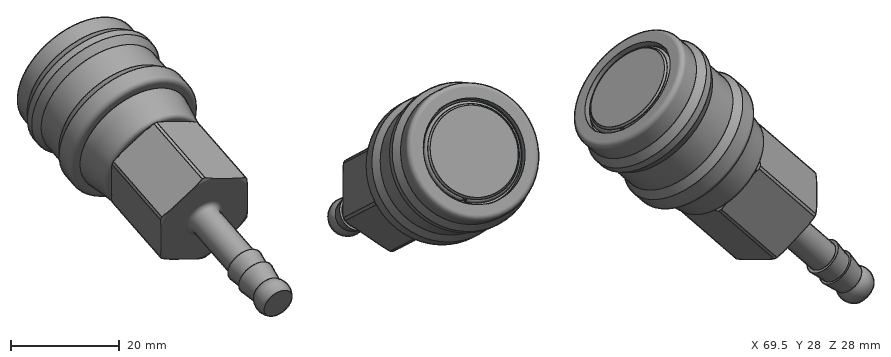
import cadquery as cq
import math

TOTAL_LENGTH = 69.5

GRIP_DIA = 26.0
RIDGE_DIA = 28.0
SLEEVE_END = 20.45
RIDGE_RAMP = 1.7
FRONT_RIDGE_START = 4.0
FRONT_RIDGE_CREST = 1.45
REAR_RIDGE_START = 14.9
MOUTH_FILLET = 1.0
REAR_FILLET = 1.0

CORE_DIA = 18.0
MOUTH_DIA = 20.0
SEAT_START = 1.5

NOSE_CHAMFER = 0.35
RING_DIA = 19.1
RING_POSITION = 1.0
RING_GAP_WIDTH = 0.7
RING_GAP_ANGLE = 10.5
COLLAR_DIA = 23.85
COLLAR_LAND_END = 20.7
COLLAR_END = 27.3
COLLAR_END_DIA = 21.35
COLLAR_FILLET = 0.75

HEX_ACROSS_FLATS = 19.0
HEX_ACROSS_CORNERS = 21.55
HEX_END = 44.3
HEX_CHAMFER_DIA = 20.0
HEX_CHAMFER_LENGTH = 0.3

TAIL_DIA = 6.1
TAIL_FILLET = 1.0
BARB_DIA = 7.4
BARB_LIP = 0.3
FIRST_BARB_START = 58.05
FIRST_BARB_END = 61.45
FIRST_BARB_END_DIA = 6.45
SECOND_BARB_START = 61.8
BEAD_START = 65.8
BEAD_DIA = 7.3


def revolve_about_x(profile):
    """Close an XY profile and turn it fully about the X axis."""
    return profile.close().revolve(360, (0, 0, 0), (1, 0, 0))


def rod(start, end, diameter):
    return cq.Workplane("YZ", origin=(start, 0, 0)).circle(diameter / 2).extrude(end - start)


def make_sleeve():
    grip_radius = GRIP_DIA / 2
    ridge_radius = RIDGE_DIA / 2
    bore_radius = CORE_DIA / 2
    mouth_radius = MOUTH_DIA / 2
    crest_start = FRONT_RIDGE_START + RIDGE_RAMP
    crest_end = crest_start + FRONT_RIDGE_CREST
    seat_end = SEAT_START + mouth_radius - bore_radius
    sleeve = revolve_about_x(
        cq.Workplane("XY")
        .moveTo(0, mouth_radius)
        .lineTo(0, grip_radius)
        .lineTo(FRONT_RIDGE_START, grip_radius)
        .lineTo(crest_start, ridge_radius)
        .lineTo(crest_end, ridge_radius)
        .lineTo(crest_end + RIDGE_RAMP, grip_radius)
        .lineTo(REAR_RIDGE_START, grip_radius)
        .lineTo(REAR_RIDGE_START + RIDGE_RAMP, ridge_radius)
        .lineTo(SLEEVE_END, ridge_radius)
        .lineTo(SLEEVE_END, bore_radius)
        .lineTo(seat_end, bore_radius)
        .lineTo(SEAT_START, mouth_radius)
    )
    sleeve = sleeve.faces("<X").edges(cq.selectors.RadiusNthSelector(-1)).fillet(MOUTH_FILLET)
    return sleeve.faces(">X").edges(cq.selectors.RadiusNthSelector(-1)).fillet(REAR_FILLET)


def make_nose():
    """Plug that fills the sleeve bore, chamfered at the mouth."""
    return rod(0, SLEEVE_END, CORE_DIA).faces("<X").chamfer(NOSE_CHAMFER)


def make_stop_ring():
    """Round bead around the nose, split by one narrow gap near the bottom."""
    wire_radius = (RING_DIA - CORE_DIA) / 2
    ring = (
        cq.Workplane("XY")
        .center(RING_POSITION, CORE_DIA / 2)
        .circle(wire_radius)
        .revolve(360, (0, -CORE_DIA / 2, 0), (1, -CORE_DIA / 2, 0))
    )
    gap = (
        cq.Workplane("XY")
        .box(2 * RING_POSITION, RING_GAP_WIDTH, RING_DIA)
        .translate((RING_POSITION, 0, -RING_DIA / 2))
        .rotate((0, 0, 0), (1, 0, 0), RING_GAP_ANGLE)
    )
    return ring.cut(gap)


def make_collar():
    collar = revolve_about_x(
        cq.Workplane("XY")
        .moveTo(SLEEVE_END, 0)
        .lineTo(SLEEVE_END, COLLAR_DIA / 2)
        .lineTo(COLLAR_LAND_END, COLLAR_DIA / 2)
        .lineTo(COLLAR_END, COLLAR_END_DIA / 2)
        .lineTo(COLLAR_END, 0)
    )
    return collar.faces(">X").edges().fillet(COLLAR_FILLET)


def hexagon_bar(across_flats, first_corner_angle):
    """Plain hexagonal bar along the hexagon's length; the angle is in degrees from +Y."""
    corner_radius = across_flats / math.sqrt(3)
    angles = [math.radians(first_corner_angle + 60 * side) for side in range(6)]
    corners = [(corner_radius * math.cos(angle), corner_radius * math.sin(angle)) for angle in angles]
    profile = cq.Workplane("YZ", origin=(COLLAR_END, 0, 0)).polyline(corners).close()
    return profile.extrude(HEX_END - COLLAR_END)


def make_hexagon():
    """Hexagon with two flats facing +Y and -Y, its corners cut flat and its ends bevelled."""
    hexagon = hexagon_bar(HEX_ACROSS_FLATS, 30).intersect(hexagon_bar(HEX_ACROSS_CORNERS, 0))
    bevel_rod_dia = 2 * HEX_ACROSS_FLATS / math.sqrt(3)
    bevel_width = (bevel_rod_dia - HEX_CHAMFER_DIA) / 2
    bevel = rod(COLLAR_END, HEX_END, bevel_rod_dia)
    bevel = bevel.faces("<X or >X").chamfer(HEX_CHAMFER_LENGTH, bevel_width)
    return hexagon.intersect(bevel)


def make_hose_tail():
    tail_radius = TAIL_DIA / 2
    barb_radius = BARB_DIA / 2
    root_end = HEX_END + TAIL_FILLET
    root_radius = tail_radius + TAIL_FILLET
    arc_inset = TAIL_FILLET * (1 - math.sqrt(0.5))
    return revolve_about_x(
        cq.Workplane("XY")
        .moveTo(HEX_END, 0)
        .lineTo(HEX_END, root_radius)
        .threePointArc((HEX_END + arc_inset, tail_radius + arc_inset), (root_end, tail_radius))
        .lineTo(FIRST_BARB_START, tail_radius)
        .lineTo(FIRST_BARB_START, barb_radius)
        .lineTo(FIRST_BARB_START + BARB_LIP, barb_radius)
        .lineTo(FIRST_BARB_END, FIRST_BARB_END_DIA / 2)
        .lineTo(SECOND_BARB_START, FIRST_BARB_END_DIA / 2)
        .lineTo(SECOND_BARB_START, barb_radius)
        .lineTo(SECOND_BARB_START + BARB_LIP, barb_radius)
        .lineTo(BEAD_START, tail_radius)
        .threePointArc(((BEAD_START + TOTAL_LENGTH) / 2, BEAD_DIA / 2), (TOTAL_LENGTH, tail_radius))
        .lineTo(TOTAL_LENGTH, 0)
    )


def make_core():
    core = make_nose().union(make_stop_ring())
    core = core.union(make_collar())
    core = core.union(make_hexagon())
    return core.union(make_hose_tail())


sleeve = make_sleeve()
core = make_core()

result = cq.Compound.makeCompound([sleeve.val(), core.solids().val()])